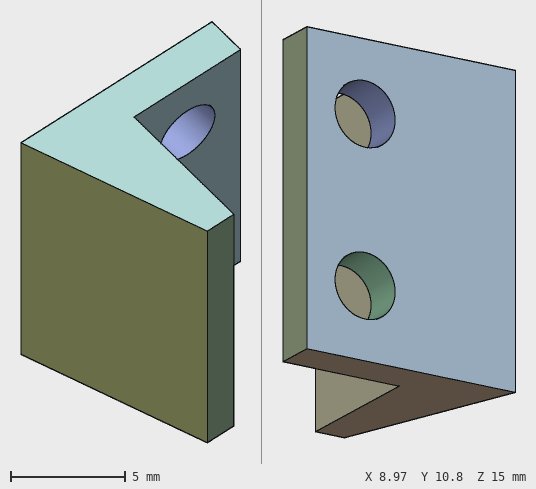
import cadquery as cq
import math

width = 8.97
height = 15.0

mount_leg_thickness = 2.0
mount_leg_reach = 6.0
tip_thickness = 1.5
taper_angle = 20.0
taper_drop = width * math.tan(math.radians(taper_angle))

tip_front_y = taper_drop
inner_corner_y = tip_front_y + tip_thickness
back_y = inner_corner_y + mount_leg_reach

hole_diameter = 3.1
hole_spacing = 8.0
hole_y = back_y - mount_leg_reach / 2


def make_body():
    """Extrude the L-shaped profile with its sloped front face."""
    outline = [
        (0, 0),
        (width, tip_front_y),
        (width, inner_corner_y),
        (mount_leg_thickness, inner_corner_y),
        (mount_leg_thickness, back_y),
        (0, back_y),
    ]
    return cq.Workplane("XY").polyline(outline).close().extrude(height)


def make_mounting_holes():
    """Two cylinders along X, placed symmetrically about mid-height."""
    hole_heights = [height / 2 + side * hole_spacing / 2 for side in (-1, 1)]
    centers = [(hole_y, z) for z in hole_heights]
    return (
        cq.Workplane("YZ")
        .pushPoints(centers)
        .circle(hole_diameter / 2)
        .extrude(mount_leg_thickness)
    )


result = make_body().cut(make_mounting_holes())